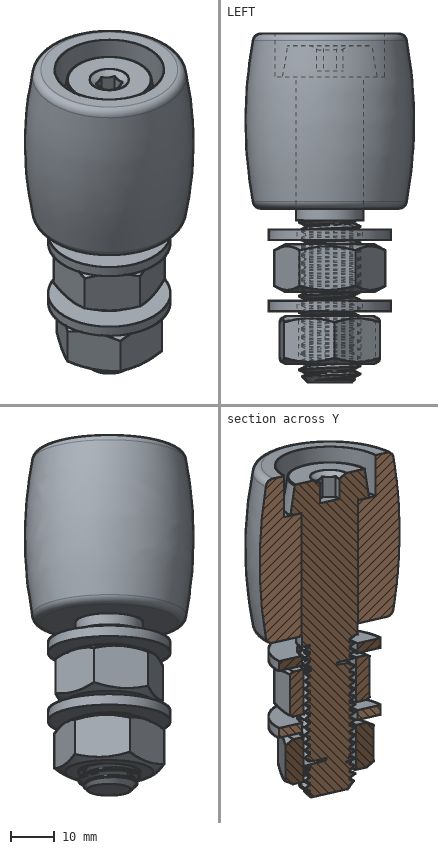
import cadquery as cq
import math


total_height = 79.75
roller_height = 40.0
roller_bottom = total_height - roller_height
roller_middle = roller_bottom + roller_height / 2
roller_max_radius = 38.6 / 2
roller_face_radius = 15.6
roller_edge_fillet = 2.0
roller_side_slope = 10.0
counterbore_diameter = 25.0
counterbore_depth = 10.0

shoulder_diameter = 15.5
shoulder_bottom = 37.1
head_base_radius = 10.85
head_top_radius = 9.65
head_recess = 2.7
head_edge_chamfer = 0.15
socket_across_flats = 5.2
socket_mouth_radius = 4.5
socket_cone_depth = 1.1
socket_hex_depth = 4.8
head_seat = total_height - counterbore_depth
head_top = total_height - head_recess

thread_diameter = 14.0
thread_ridge_height = 39.3
thread_turns = 21
thread_pitch = thread_ridge_height / thread_turns
thread_depth = 1.5
thread_crest_width = 0.1
thread_root_overlap = 0.15
thread_root_width = 0.9 * thread_pitch
seam_angle = 130.0
tip_radius = 4.95
thread_radius = thread_diameter / 2
core_radius = thread_radius - thread_depth

washer_diameter = 28.0
washer_bore_diameter = 15.0
washer_thickness = 2.5
washer_bottoms = (32.55, 16.3)

nut_across_flats = 22.0
nut_height = 11.0
nut_bore_diameter = thread_diameter + 0.15
nut_face_radius = 10.05
nut_chamfer_height = 1.4
nut_places = ((20.65, 27.3), (4.2, 5.0))


def hexagon_corners(across_flats):
    """Diameter through the corners of a regular hexagon."""
    return across_flats / math.cos(math.radians(30))


def make_roller():
    """Barrel with rounded rims, bored for the shoulder and counterbored for the head."""

    def rim_point(angle):
        """Radius and distance from the end face on the rounded rim, at an angle above horizontal."""
        return (
            roller_face_radius + roller_edge_fillet * math.cos(math.radians(angle)),
            roller_edge_fillet * (1 - math.sin(math.radians(angle))),
        )

    side_radius, side_inset = rim_point(roller_side_slope)
    rim_radius, rim_inset = rim_point((90 + roller_side_slope) / 2)
    barrel = (
        cq.Workplane("XZ")
        .moveTo(0, roller_bottom)
        .lineTo(roller_face_radius, roller_bottom)
        .threePointArc((rim_radius, roller_bottom + rim_inset), (side_radius, roller_bottom + side_inset))
        .threePointArc((roller_max_radius, roller_middle), (side_radius, total_height - side_inset))
        .threePointArc((rim_radius, total_height - rim_inset), (roller_face_radius, total_height))
        .lineTo(0, total_height)
        .close()
        .revolve(360, (0, 0), (0, 1))
    )
    bore = (
        cq.Workplane("XY", origin=(0, 0, roller_bottom))
        .circle(shoulder_diameter / 2)
        .extrude(roller_height)
    )
    counterbore = (
        cq.Workplane("XY", origin=(0, 0, head_seat))
        .circle(counterbore_diameter / 2)
        .extrude(counterbore_depth)
    )
    return barrel.cut(bore).cut(counterbore)


def make_socket():
    """Hexagon socket with a conical mouth, as a cutting shape."""
    hexagon = (
        cq.Workplane("XY", origin=(0, 0, head_top))
        .transformed(rotate=(0, 0, 90))
        .polygon(6, hexagon_corners(socket_across_flats))
        .extrude(-(socket_cone_depth + socket_hex_depth))
    )
    mouth = cq.Workplane(
        cq.Solid.makeCone(
            socket_across_flats / 2,
            socket_mouth_radius,
            socket_cone_depth,
            cq.Vector(0, 0, head_top - socket_cone_depth),
        )
    )
    return hexagon.union(mouth)


def make_thread_ridge():
    """Helical thread ridge that starts below the tip and ends inside the shoulder."""
    ridge_start = shoulder_bottom + thread_pitch / 2 - thread_ridge_height
    root_radius = core_radius - thread_root_overlap
    root_half_width = thread_root_width / 2
    crest_half_width = thread_crest_width / 2

    helix = cq.Wire.makeHelix(thread_pitch, thread_ridge_height, core_radius, cq.Vector(0, 0, ridge_start))
    return (
        cq.Workplane("XZ")
        .moveTo(root_radius, ridge_start - root_half_width)
        .lineTo(thread_radius, ridge_start - crest_half_width)
        .lineTo(thread_radius, ridge_start + crest_half_width)
        .lineTo(root_radius, ridge_start + root_half_width)
        .close()
        .sweep(cq.Workplane(obj=helix), isFrenet=True)
    )


def make_tip_cone():
    """Upward-opening 45 degree cone that bounds the chamfered tip and encloses the shank."""
    return cq.Workplane(
        cq.Solid.makeCone(tip_radius, tip_radius + total_height, total_height)
    ).rotate((0, 0, 0), (0, 0, 1), seam_angle / 2)


def make_stud():
    """Tapered head with socket, plain shoulder and threaded shank."""
    shoulder = (
        cq.Workplane("XY", origin=(0, 0, shoulder_bottom))
        .circle(shoulder_diameter / 2)
        .extrude(head_seat - shoulder_bottom)
    )
    head = (
        cq.Workplane(
            cq.Solid.makeCone(
                head_base_radius, head_top_radius, head_top - head_seat, cq.Vector(0, 0, head_seat)
            )
        )
        .faces(">Z")
        .chamfer(head_edge_chamfer)
    )
    core = cq.Workplane("XY").circle(core_radius).extrude(shoulder_bottom)
    plain_shank = shoulder.union(core).rotate((0, 0, 0), (0, 0, 1), seam_angle)
    shank = plain_shank.union(make_thread_ridge()).intersect(make_tip_cone())
    return shank.union(head.cut(make_socket()))


def make_washer(bottom):
    """Flat washer with clearance around the thread."""
    return (
        cq.Workplane("XY", origin=(0, 0, bottom))
        .circle(washer_diameter / 2)
        .circle(washer_bore_diameter / 2)
        .extrude(washer_thickness)
    )


def make_nut(bottom, corner_angle):
    """Hex nut with its corners turned off conically at both ends."""
    corner_radius = hexagon_corners(nut_across_flats) / 2
    top = bottom + nut_height
    prism = (
        cq.Workplane("XY", origin=(0, 0, bottom))
        .transformed(rotate=(0, 0, corner_angle))
        .polygon(6, 2 * corner_radius)
        .extrude(nut_height)
    )
    turned_outline = (
        cq.Workplane("XZ")
        .moveTo(0, bottom)
        .lineTo(nut_face_radius, bottom)
        .lineTo(corner_radius, bottom + nut_chamfer_height)
        .lineTo(corner_radius, top - nut_chamfer_height)
        .lineTo(nut_face_radius, top)
        .lineTo(0, top)
        .close()
        .revolve(360, (0, 0), (0, 1))
    )
    bore = cq.Workplane("XY", origin=(0, 0, bottom)).circle(nut_bore_diameter / 2).extrude(nut_height)
    return prism.intersect(turned_outline).cut(bore)


roller = make_roller()
stud = make_stud()
washers = [make_washer(bottom) for bottom in washer_bottoms]
nuts = [make_nut(bottom, corner_angle) for bottom, corner_angle in nut_places]

result = cq.Compound.makeCompound(
    [
        roller.val(),
        stud.solids().val(),
        *[washer.val() for washer in washers],
        *[nut.val() for nut in nuts],
    ]
)